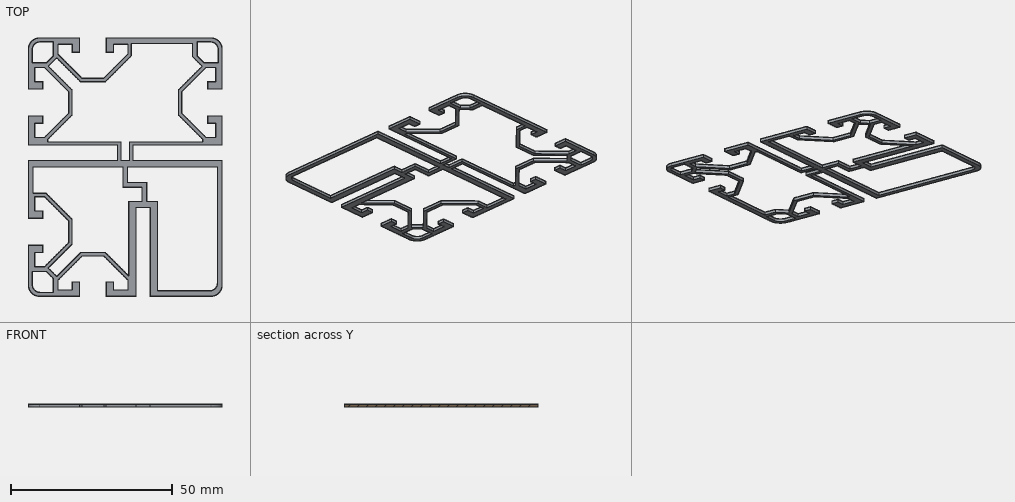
import cadquery as cq
import math

WIDTH = 60.0
LENGTH = 80.0
THICKNESS = 1.0
OUTER_RADIUS = 3.5

SLOT_OFFSET = 20.0
SLOT_OPENING = 8.2
SLOT_WALL = 2.0
LIP_THICKNESS = 2.3
LIP_DEPTH = 4.5
POCKET_WIDTH = 21.6
POCKET_END = SLOT_OFFSET - POCKET_WIDTH / 2
POCKET_SHOULDER = 5.0
POCKET_DEPTH = 12.5
WEB = 1.1

HOLLOW_WALL = 1.3
HOLLOW_END = 7.7
HOLLOW_CHAMFER = 2.1
HOLLOW_RADIUS = 2.3
HOLLOW_WEB = 1.2

UPPER_BOTTOM = 46.8
UPPER_FLOOR = 1.0
UPPER_ROOF = 1.8
UPPER_SIDE = 6.1

NECK_WIDTH = 4.9
NECK_CHANNEL = 2.5

LOWER_TOP = 42.1
LOWER_ROOF = 2.1
LOWER_SIDE = 1.5
LOWER_FLOOR = 1.8
LOWER_RADIUS = 2.3

GROOVE_CENTER = 35.5
GROOVE_WIDTH = 4.3
GROOVE_TOP = 27.4
GROOVE_SIDE = 2.3
GROOVE_ROOF = 2.0
STEP_WALL = 1.5
STEP_TOP = 35.3
STEP_CENTER = 35.9

SLOT_PLACES = [
    (180, SLOT_OFFSET, LENGTH),
    (-90, 0, LENGTH - SLOT_OFFSET),
    (90, WIDTH, LENGTH - SLOT_OFFSET),
    (-90, 0, SLOT_OFFSET),
    (0, SLOT_OFFSET, 0),
]
CORNER_PLACES = [(0, 0, 0), (-90, 0, LENGTH), (180, WIDTH, LENGTH)]


def box(left, right, bottom, top):
    """Full-thickness block between the given X and Y limits."""
    return cq.Workplane("XY").rect(right - left, top - bottom).extrude(THICKNESS).translate(
        ((left + right) / 2, (bottom + top) / 2, 0)
    )


def prism(points):
    """Full-thickness block with a polygonal outline."""
    return cq.Workplane("XY").polyline(points).close().extrude(THICKNESS)


def pocket(wall):
    """Slot pocket grown by a wall, opening at Y = 0 and running toward +Y."""
    kink = wall * math.tan(math.radians(45 / 2))
    half = POCKET_WIDTH / 2 + wall
    shoulder = POCKET_SHOULDER + kink
    depth = POCKET_DEPTH + wall
    half_floor = half - (depth - shoulder)
    return prism([
        (-half, 0),
        (half, 0),
        (half, shoulder),
        (half_floor, depth),
        (-half_floor, depth),
        (-half, shoulder),
    ])


def slot_cut():
    """Space removed by one T-slot: its opening and the pocket behind the lips."""
    half_opening = SLOT_OPENING / 2
    half_lips = half_opening + LIP_THICKNESS
    half_pocket = POCKET_WIDTH / 2
    return (
        pocket(0)
        .cut(box(-half_pocket, half_pocket, 0, SLOT_WALL))
        .cut(box(-half_lips, half_lips, 0, LIP_DEPTH))
        .union(box(-half_opening, half_opening, 0, LIP_DEPTH))
    )


def corner_block():
    """Solid behind a rounded corner at the origin, with its inner corner cut at 45 degrees."""
    diagonal = 2 * HOLLOW_END - HOLLOW_CHAMFER + HOLLOW_WEB * math.sqrt(2)
    shoulder = diagonal - POCKET_END
    return prism([
        (0, 0),
        (POCKET_END, 0),
        (POCKET_END, shoulder),
        (shoulder, POCKET_END),
        (0, POCKET_END),
    ])


def corner_hollow():
    """Hollow inside a corner block: rounded outside, chamfered inside."""
    return (
        box(HOLLOW_WALL, HOLLOW_END, HOLLOW_WALL, HOLLOW_END)
        .edges("|Z and <X and <Y").fillet(HOLLOW_RADIUS)
        .edges("|Z and >X and >Y").chamfer(HOLLOW_CHAMFER)
    )


def placed(shape, places):
    """Copies of the shape, one for each (rotation about Z, X, Y) place."""
    return [shape.rotate((0, 0, 0), (0, 0, 1), angle).translate((x, y, 0)) for angle, x, y in places]


envelope = box(0, WIDTH, 0, LENGTH).edges("|Z").fillet(OUTER_RADIUS)

upper_chamber = box(
    UPPER_SIDE, WIDTH - UPPER_SIDE, UPPER_BOTTOM + UPPER_FLOOR, LENGTH - UPPER_ROOF
)
lower_chamber = (
    box(LOWER_SIDE, WIDTH - LOWER_SIDE, LOWER_FLOOR, LOWER_TOP - LOWER_ROOF)
    .edges("|Z and >X and <Y").fillet(LOWER_RADIUS)
)
body = (
    envelope
    .cut(box(0, WIDTH, LOWER_TOP, UPPER_BOTTOM))
    .cut(upper_chamber)
    .cut(lower_chamber)
)

middle = WIDTH / 2
body = body.union(
    box(middle - NECK_WIDTH / 2, middle + NECK_WIDTH / 2, LOWER_TOP, UPPER_BOTTOM)
)
body = body.cut(
    box(middle - NECK_CHANNEL / 2, middle + NECK_CHANNEL / 2, LOWER_TOP, UPPER_BOTTOM + UPPER_FLOOR)
)

half_step = STEP_WALL / 2
fold_half = GROOVE_WIDTH / 2 + GROOVE_SIDE
fold_top = GROOVE_TOP + GROOVE_ROOF
body = (
    body
    .union(box(middle - half_step, middle + half_step, STEP_TOP - STEP_WALL, LOWER_TOP))
    .union(box(middle - half_step, STEP_CENTER + half_step, STEP_TOP - STEP_WALL, STEP_TOP))
    .union(box(STEP_CENTER - half_step, STEP_CENTER + half_step, fold_top, STEP_TOP))
    .union(box(GROOVE_CENTER - fold_half, GROOVE_CENTER + fold_half, 0, fold_top))
    .cut(box(GROOVE_CENTER - GROOVE_WIDTH / 2, GROOVE_CENTER + GROOVE_WIDTH / 2, 0, GROOVE_TOP))
)

for wall in placed(pocket(WEB), SLOT_PLACES) + placed(corner_block(), CORNER_PLACES):
    body = body.union(wall.intersect(envelope))

for opening in placed(slot_cut(), SLOT_PLACES) + placed(corner_hollow(), CORNER_PLACES):
    body = body.cut(opening)

result = body